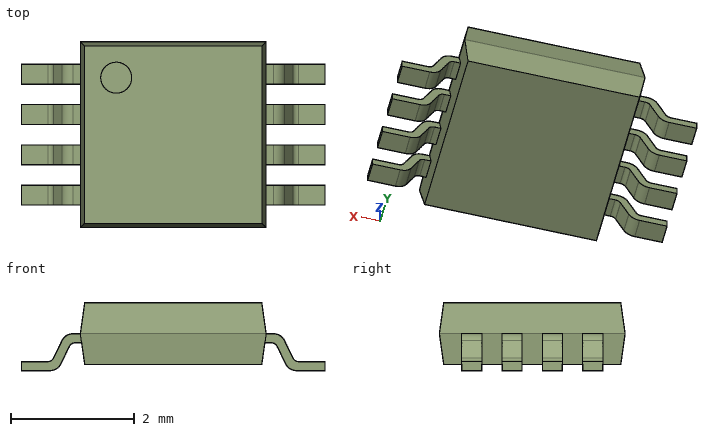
import cadquery as cq
import math

body_width = 3.0
standoff = 0.1
body_top = 1.1
parting_height = 0.6
draft_angle = 8.0

mark_diameter = 0.5
mark_depth = 0.01
mark_inset = 0.58

lead_span = 4.9
lead_width = 0.325
lead_pitch = 0.65
leads_per_side = 4
lead_thickness = 0.15
lead_angle = 64.0
inner_bend_radius = 0.1
outer_bend_radius = 0.2
foot_length = 0.49
lead_embed = 0.2


def make_body_half(height, direction):
    """Tapered half that narrows away from the parting plane."""
    return (
        cq.Workplane("XY")
        .workplane(offset=parting_height)
        .rect(body_width, body_width)
        .extrude(direction * height, taper=draft_angle)
    )


def make_body():
    upper = make_body_half(body_top - parting_height, 1)
    lower = make_body_half(parting_height - standoff, -1)
    return upper.union(lower)


def make_pin_one_mark():
    offset = body_width / 2 - mark_inset
    return (
        cq.Workplane("XY")
        .workplane(offset=body_top - mark_depth)
        .center(-offset, offset)
        .circle(mark_diameter / 2)
        .extrude(mark_depth)
    )


def make_lead():
    """Gull-wing strip of even thickness on the -X side, centred on Y = 0."""
    angle = math.radians(lead_angle)
    shoulder_bottom = parting_height - lead_thickness
    toe_x = -lead_span / 2
    root_x = -body_width / 2 + lead_embed

    underside_shift = lead_thickness * math.tan(angle / 2)
    knee_x = toe_x + foot_length
    bend_x = knee_x + shoulder_bottom / math.tan(angle)
    lower_inner = (knee_x, lead_thickness)
    lower_outer = (knee_x + underside_shift, 0)
    upper_inner = (bend_x + underside_shift, shoulder_bottom)
    upper_outer = (bend_x, parting_height)

    outline = [
        (toe_x, 0),
        lower_outer,
        upper_inner,
        (root_x, shoulder_bottom),
        (root_x, parting_height),
        upper_outer,
        lower_inner,
        (toe_x, lead_thickness),
    ]
    lead = cq.Workplane("XZ").polyline(outline).close().extrude(lead_width / 2, both=True)

    bends = [
        (lower_inner, inner_bend_radius),
        (upper_inner, inner_bend_radius),
        (lower_outer, outer_bend_radius),
        (upper_outer, outer_bend_radius),
    ]
    for (corner_x, corner_z), radius in bends:
        corner_edge = cq.selectors.NearestToPointSelector((corner_x, 0, corner_z))
        lead = lead.edges("|Y").edges(corner_edge).fillet(radius)
    return lead


result = make_body().cut(make_pin_one_mark())

left_lead = make_lead()
right_lead = left_lead.mirror("YZ")
for index in range(leads_per_side):
    lead_y = (index - (leads_per_side - 1) / 2) * lead_pitch
    for lead in (left_lead, right_lead):
        result = result.union(lead.translate((0, lead_y, 0)))